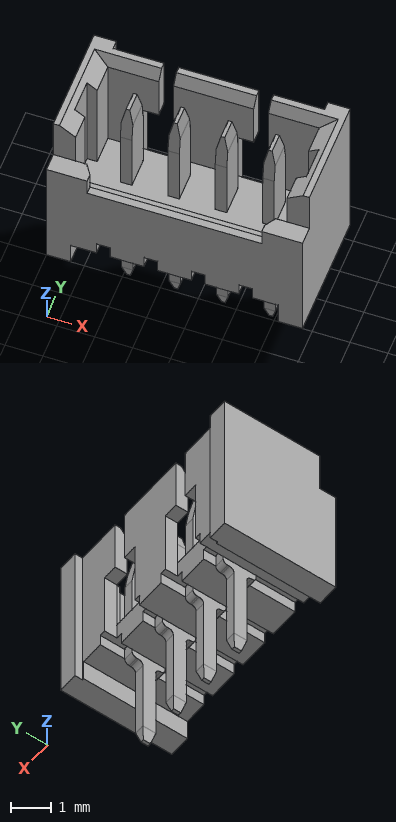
import cadquery as cq


LENGTH = 6.75
DEPTH = 3.45
TOP_Z = 7.1
FOOT_Z = 2.385
STANDOFF_Z = 3.045
FOOT_INNER_X = 2.73

CAVITY_HALF_X = 2.78
FLOOR_Z = 3.92
FRONT_WALL = 0.5
CAVITY_BACK_Y = 2.83
LEAD_IN_Z = 0.29
LEAD_IN_SIDE = 0.425
LEAD_IN_BACK = 0.205
KEYWAY_HALF_X = 3.05
KEYWAY_FRONT_Y = 1.17
KEYWAY_BACK_Y = 2.06

FRONT_STEP_Z = 5.85
DIP_Z = 5.36
DIP_HALF_X = 2.3
DIP_FLARE_HALF_X = 2.485
DIP_BEVEL_Y = 0.205
DIP_BEVEL_DROP = 0.22

BACK_WALL_Y = 3.215
EAR_INNER_X = CAVITY_HALF_X
NOTCH_WIDTH = 0.38
WINDOW_TOP_Z = 5.46

PIN_COUNT = 4
PITCH = 1.25
PIN_WIDTH = 0.305
BLADE_FRONT_Y = 1.655
BLADE_BACK_Y = 2.48
BLADE_TOP_Z = 6.76
BLADE_TIP_FRONT_Y = 1.79
BLADE_TIP_BACK_Y = 2.315
BLADE_FACE_TAPER_Z = 5.745
BLADE_SIDE_TAPER_Z = 6.275
TAIL_FRONT_Y = 1.74
TAIL_BACK_Y = 2.145
TAIL_TAPER_Z = 0.37
TAIL_TIP_INSET_Y = 0.09
TIP_WIDTH = 0.1
BEND_RADIUS = 0.14
BEND_TOP_Z = 2.99
PIN_SLOT_WIDTH = 0.355
PIN_SLOT_TOP_Z = 3.41

PIN_XS = [(i - (PIN_COUNT - 1) / 2) * PITCH for i in range(PIN_COUNT)]
NOTCH_XS = (-PITCH, PITCH)


def box(x0, x1, y0, y1, z0, z1):
    """Axis-aligned block between two opposite corners."""
    return cq.Workplane("XY").box(x1 - x0, y1 - y0, z1 - z0, centered=False).translate((x0, y0, z0))


def centred_box(half_x, y0, y1, z0, z1):
    """Block that is symmetric about X = 0."""
    return box(-half_x, half_x, y0, y1, z0, z1)


def lead_in():
    """Tapered mouth of the cavity, sloping on both sides and at the back."""
    mouth_half_x = CAVITY_HALF_X + LEAD_IN_SIDE
    mouth_back_y = CAVITY_BACK_Y + LEAD_IN_BACK
    return (
        cq.Workplane("XY", origin=(0, mouth_back_y / 2, TOP_Z))
        .rect(2 * mouth_half_x, mouth_back_y)
        .workplane(offset=-LEAD_IN_Z)
        .center(0, -LEAD_IN_BACK / 2)
        .rect(2 * CAVITY_HALF_X, CAVITY_BACK_Y)
        .loft(ruled=True)
    )


def front_dip():
    """Low stretch of the front wall: flared ends, level in front and bevelled down towards the cavity."""
    plan = (
        cq.Workplane("XY", origin=(0, 0, FLOOR_Z))
        .polyline([
            (-DIP_HALF_X, 0),
            (DIP_HALF_X, 0),
            (DIP_HALF_X, DIP_BEVEL_Y),
            (DIP_FLARE_HALF_X, FRONT_WALL),
            (-DIP_FLARE_HALF_X, FRONT_WALL),
            (-DIP_HALF_X, DIP_BEVEL_Y),
        ])
        .close()
        .extrude(TOP_Z - FLOOR_Z)
    )
    section = (
        cq.Workplane("YZ")
        .polyline([
            (0, TOP_Z),
            (0, DIP_Z),
            (DIP_BEVEL_Y, DIP_Z),
            (FRONT_WALL, DIP_Z - DIP_BEVEL_DROP),
            (FRONT_WALL, TOP_Z),
        ])
        .close()
        .extrude(LENGTH / 2, both=True)
    )
    return plan.intersect(section)


def back_opening(x):
    """T-shaped opening in the back wall: a narrow notch above a window one pitch wide."""
    notch = box(x - NOTCH_WIDTH / 2, x + NOTCH_WIDTH / 2, CAVITY_BACK_Y, DEPTH, STANDOFF_Z, TOP_Z)
    window = box(x - PITCH / 2, x + PITCH / 2, CAVITY_BACK_Y, DEPTH, STANDOFF_Z, WINDOW_TOP_Z)
    return notch.union(window)


def housing():
    """Open-topped shroud standing on two end feet."""
    body = centred_box(LENGTH / 2, 0, DEPTH, FOOT_Z, TOP_Z)
    body = body.cut(centred_box(FOOT_INNER_X, 0, DEPTH, FOOT_Z, STANDOFF_Z))
    body = body.cut(centred_box(EAR_INNER_X, BACK_WALL_Y, DEPTH, FOOT_Z, TOP_Z))
    body = body.cut(centred_box(CAVITY_HALF_X, FRONT_WALL, CAVITY_BACK_Y, FLOOR_Z, TOP_Z))
    body = body.cut(centred_box(KEYWAY_HALF_X, KEYWAY_FRONT_Y, KEYWAY_BACK_Y, FLOOR_Z, TOP_Z))
    body = body.cut(centred_box(LENGTH / 2, 0, FRONT_WALL, FRONT_STEP_Z, TOP_Z))
    body = body.cut(lead_in())
    body = body.cut(front_dip())
    for x in NOTCH_XS:
        body = body.cut(back_opening(x))
    for x in PIN_XS:
        half_slot = PIN_SLOT_WIDTH / 2
        body = body.cut(box(x - half_slot, x + half_slot, 0, DEPTH, STANDOFF_Z, PIN_SLOT_TOP_Z))
    return body


def pin():
    """Blade in the cavity, a wider shoulder in the slot and a narrow tail, joined by S-shaped curves."""
    r = BEND_RADIUS
    half_width = PIN_WIDTH / 2
    shoulder_front_y = TAIL_FRONT_Y - 2 * r
    bend_mid_z = BEND_TOP_Z - r
    bend_low_z = BEND_TOP_Z - 2 * r
    side_profile = (
        cq.Workplane("YZ")
        .moveTo(TAIL_FRONT_Y + TAIL_TIP_INSET_Y, 0)
        .lineTo(TAIL_FRONT_Y, TAIL_TAPER_Z)
        .lineTo(TAIL_FRONT_Y, bend_low_z)
        .tangentArcPoint((-r, r))
        .tangentArcPoint((-r, r))
        .lineTo(shoulder_front_y, PIN_SLOT_TOP_Z)
        .lineTo(BLADE_FRONT_Y, PIN_SLOT_TOP_Z)
        .lineTo(BLADE_FRONT_Y, BLADE_FACE_TAPER_Z)
        .lineTo(BLADE_TIP_FRONT_Y, BLADE_TOP_Z)
        .lineTo(BLADE_TIP_BACK_Y, BLADE_TOP_Z)
        .lineTo(BLADE_BACK_Y, BLADE_FACE_TAPER_Z)
        .lineTo(BLADE_BACK_Y, BEND_TOP_Z)
        .tangentArcPoint((-r, -r))
        .lineTo(TAIL_BACK_Y + r, bend_mid_z)
        .tangentArcPoint((-r, -r))
        .lineTo(TAIL_BACK_Y, TAIL_TAPER_Z)
        .lineTo(TAIL_BACK_Y - TAIL_TIP_INSET_Y, 0)
        .close()
        .extrude(half_width, both=True)
    )
    half_tip = TIP_WIDTH / 2
    front_profile = (
        cq.Workplane("XZ")
        .polyline([
            (-half_tip, 0),
            (half_tip, 0),
            (half_width, TAIL_TAPER_Z),
            (half_width, BLADE_SIDE_TAPER_Z),
            (half_tip, BLADE_TOP_Z),
            (-half_tip, BLADE_TOP_Z),
            (-half_width, BLADE_SIDE_TAPER_Z),
            (-half_width, TAIL_TAPER_Z),
        ])
        .close()
        .extrude(-DEPTH)
    )
    return side_profile.intersect(front_profile)


result = housing()
for pin_x in PIN_XS:
    result = result.union(pin().translate((pin_x, 0, 0)))